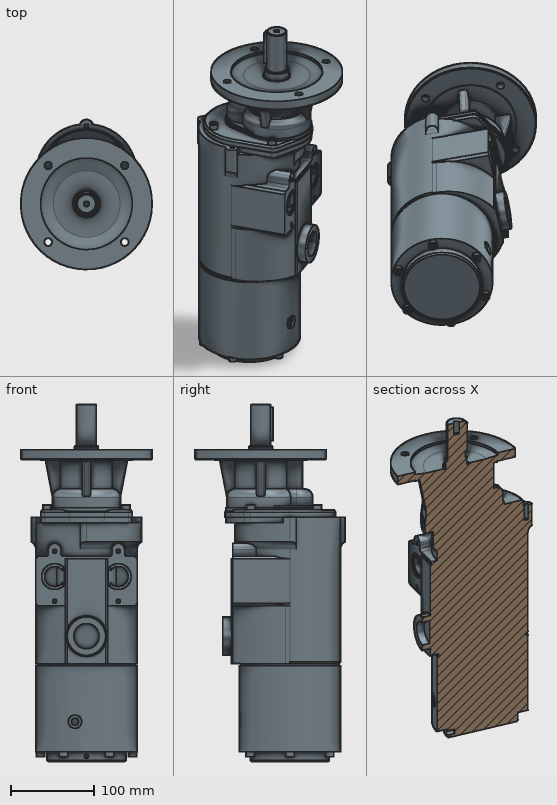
import cadquery as cq
import math

BODY_Y = 35.0
BODY_R = 61.0

SHAFT_TIP_Z = 54.5
SHAFT_LENGTH = 50.0
FLANGE_BOTTOM_Z = -12.0
DOME_TOP_Z = -47.2
COVER_TOP_Z = -72.5
COVER_BOTTOM_Z = -81.0
SEAT_BOTTOM_Z = -88.0
LUG_BOTTOM_Z = -119.0
PORT_BLOCK_TOP_Z = -128.0
PORT_BLOCK_BOTTOM_Z = -187.8
BODY_BOTTOM_Z = -257.0
DRUM_TOP_Z = -259.5
DRUM_BOTTOM_Z = -363.0
CAP_BOTTOM_Z = -375.0

SHAFT_R = 12.0
SHOULDER_R = 14.4
SHAFT_CHAMFER = 1.0
SHAFT_CENTRE_HOLE_D = 6.65
SHAFT_CENTRE_HOLE_DEPTH = 16.0
KEY_WIDTH = 8.0
KEY_LENGTH = 40.0
KEY_TOP_Y = 15.0
KEY_END_GAP = 4.0

FLANGE_R = 79.0
FLANGE_CHAMFER = 1.2
RECESS_R = 55.0
RECESS_DEPTH = 4.6
RECESS_WALL = 3.2
SEAL_R = 40.0
SHAFT_BORE_R = 16.5
SHAFT_BORE_DEPTH = 1.0
FLANGE_HOLE_D = 9.0
FLANGE_HOLE_CIRCLE_D = 130.0
BACK_RING_R = 55.0
BACK_RING_THICKNESS = 1.0

NECK_R = 31.7
NECK_FILLET = 2.0
HUB_R = 41.0
DOME_FILLET = 10.0
LOBE_Y = 42.5
LOBE_R = 20.0
RIB_WIDTH = 10.5
RIB_EDGE_FILLET = 2.5
RIB_TOP_R = 49.5
RIB_BOTTOM_Z = -56.0
REAR_RIB_R = 50.4

PEDESTAL_LOBE_Y = 36.0
PEDESTAL_LOBE_R = 27.0
PEDESTAL_STEPS = ((0.0, -67.3), (1.2, -69.8))

COVER_R = 55.0
COVER_NOSE_R = 43.0
COVER_NOSE_HALF_WIDTH = 21.3
COVER_CORNER_R = 9.0
SEAT_INSET = 1.0
SEAT_REAR_Y = 27.0
COVER_CHAMFER_HEIGHT = 2.6
COVER_CHAMFER_WIDTH = 1.8
COVER_SCREWS = [(47.3, -12.0), (34.0, 68.0)]
SCREW_HEAD_D = 10.0
SCREW_HEAD_HEIGHT = 6.0
SCREW_SOCKET_SIDES = 6
SCREW_SOCKET_D = 5.5
SCREW_SOCKET_DEPTH = 3.0

LUG_OUTER_R = 66.25
LUG_R = 8.0
LUG_RUNOUT_R = 9.0
LUG_HOLE_D = 4.92
LUG_HOLE_DEPTH = 20.0

PORT_FACE_Y = -33.8
BULGE_START_Y = 29.7
PORT_X = 38.2
PORT_Z = -152.5
PORT_D = 24.0
PORT_MOUTH_D = 31.0
PORT_DEPTH = 9.4
PORT_MOUTH_DEPTH = 2.0
PORT_RAMP_X = 35.8
TAB_R = 7.5
TAB_CENTRE_RISE = 2.0
TAB_ROOT_FILLET = 3.0
PORT_SCREW_D = 4.92
PORT_SCREW_SPACING = 60.0
PORT_SCREW_TOP_Z = -122.0
PORT_SCREW_DEPTH = 12.0
BLOCK_CORNER_CHAMFER = 3.0

SPINE_HALF_WIDTH = 25.5
SPINE_FACE_Y = -35.4
SPINE_TOP_Z = -131.3
SPINE_CHAMFER = 2.4
SPINE_CHAMFER_DEPTH = 1.5
CONNECTOR_Z = -224.0
CONNECTOR_R = 23.0
CONNECTOR_FACE_Y = -45.7
CONNECTOR_SEAT_R = 24.5
CONNECTOR_SEAT_DEPTH = 0.5
CONNECTOR_BORE_D = 30.3
CONNECTOR_BORE_DEPTH = 10.0

BODY_CHAMFER = 2.0
NECK_GROOVE_R = 59.0
PLUG_X = -13.7
PLUG_Z = -326.7
PLUG_SEAT_D = 16.0
PLUG_SEAT_Y = -22.0
PLUG_HOLE_D = 8.57
PLUG_HOLE_DEPTH = 5.0
CAP_R = 47.5
CAP_CHAMFER = 2.0
CAP_SCREW_COUNT = 6
CAP_SCREW_CIRCLE_R = 55.2
CAP_HOLE_D = 5.0
CAP_HOLE_Z = -368.0
CAP_HOLE_DEPTH = 10.0


def cylinder(radius, bottom, top, x=0.0, y=0.0):
    """Vertical cylinder between two heights."""
    return cq.Workplane("XY", origin=(x, y, bottom)).circle(radius).extrude(top - bottom)


def front_cylinder(radius, front_y, back_y, x, z):
    """Cylinder along Y, starting at front_y and running back to back_y."""
    return cq.Workplane("XZ", origin=(x, back_y, z)).circle(radius).extrude(back_y - front_y)


def block(x_range, y_range, z_range):
    """Box given by its limits along each axis."""
    size = [high - low for low, high in (x_range, y_range, z_range)]
    corner = (x_range[0], y_range[0], z_range[0])
    return cq.Workplane("XY").box(*size, centered=False).translate(corner)


def cap_screw(x, y, seat_z, direction):
    """Socket screw head standing on seat_z, pointing up (+1) or down (-1)."""
    plane = cq.Plane(origin=(x, y, seat_z), xDir=(1, 0, 0), normal=(0, 0, direction))
    head = cq.Workplane(plane).circle(SCREW_HEAD_D / 2).extrude(SCREW_HEAD_HEIGHT)
    end_face = head.faces(">Z" if direction > 0 else "<Z").workplane()
    return end_face.polygon(SCREW_SOCKET_SIDES, SCREW_SOCKET_D).cutBlind(-SCREW_SOCKET_DEPTH)


def make_shaft():
    shoulder_z = SHAFT_TIP_Z - SHAFT_LENGTH
    shaft = cylinder(SHAFT_R, FLANGE_BOTTOM_Z, SHAFT_TIP_Z).faces(">Z").chamfer(SHAFT_CHAMFER)
    shoulder = cylinder(SHOULDER_R, FLANGE_BOTTOM_Z, shoulder_z).faces(">Z").chamfer(SHAFT_CHAMFER)
    key_top_z = SHAFT_TIP_Z - KEY_END_GAP
    key = block((-KEY_WIDTH / 2, KEY_WIDTH / 2), (0, KEY_TOP_Y), (key_top_z - KEY_LENGTH, key_top_z))
    centre_hole = cylinder(SHAFT_CENTRE_HOLE_D / 2, SHAFT_TIP_Z - SHAFT_CENTRE_HOLE_DEPTH, SHAFT_TIP_Z)
    return shaft.union(shoulder).union(key).cut(centre_hole)


def make_flange():
    flange = cylinder(FLANGE_R, FLANGE_BOTTOM_Z, 0).faces("<Z").chamfer(FLANGE_CHAMFER)
    floor_z = -RECESS_DEPTH
    recess = (
        cq.Workplane("XZ")
        .polyline([(0, 0), (RECESS_R, 0), (RECESS_R, -RECESS_WALL), (SEAL_R, floor_z), (0, floor_z)])
        .close()
        .revolve(360, (0, 0, 0), (0, 1, 0))
    )
    flange = flange.cut(recess)
    flange = flange.cut(cylinder(SHAFT_BORE_R, floor_z - SHAFT_BORE_DEPTH, floor_z))
    half_pitch = FLANGE_HOLE_CIRCLE_D / 2 / math.sqrt(2)
    for x in (-half_pitch, half_pitch):
        for y in (-half_pitch, half_pitch):
            flange = flange.cut(cylinder(FLANGE_HOLE_D / 2, FLANGE_BOTTOM_Z, 0, x, y))
    back_ring_z = FLANGE_BOTTOM_Z - BACK_RING_THICKNESS
    return flange.union(cylinder(BACK_RING_R, back_ring_z, FLANGE_BOTTOM_Z))


def make_rib(profile, angle):
    """Radial rib with rounded outer edges; the profile is (radius, z) in the XZ plane."""
    rib = cq.Workplane("XZ", origin=(0, RIB_WIDTH / 2, 0)).polyline(profile).close().extrude(RIB_WIDTH)
    rib = rib.faces(">X").edges("not #Z").edges("not |Y").fillet(RIB_EDGE_FILLET)
    return rib.rotate((0, 0, 0), (0, 0, 1), angle)


def make_neck():
    """Round neck flaring with a fillet into the dome below and the flange ring above."""
    top_z = FLANGE_BOTTOM_Z - BACK_RING_THICKNESS
    flare_r = NECK_R + NECK_FILLET
    bend = NECK_FILLET * (1 - math.sqrt(0.5))
    return (
        cq.Workplane("XZ")
        .moveTo(0, DOME_TOP_Z)
        .lineTo(flare_r, DOME_TOP_Z)
        .threePointArc((NECK_R + bend, DOME_TOP_Z + bend), (NECK_R, DOME_TOP_Z + NECK_FILLET))
        .lineTo(NECK_R, top_z - NECK_FILLET)
        .threePointArc((NECK_R + bend, top_z - bend), (flare_r, top_z))
        .lineTo(0, top_z)
        .close()
        .revolve(360, (0, 0, 0), (0, 1, 0))
    )


def pedestal_step(growth, top):
    """Step whose outline hugs the dome and runs tangent to a wider arc around the lobe."""
    dome_r = HUB_R + growth
    lobe_r = PEDESTAL_LOBE_R + growth
    across = (dome_r - lobe_r) / PEDESTAL_LOBE_Y
    along = math.sqrt(1 - across**2)
    return (
        cq.Workplane("XY", origin=(0, 0, COVER_BOTTOM_Z))
        .moveTo(dome_r * along, dome_r * across)
        .lineTo(lobe_r * along, PEDESTAL_LOBE_Y + lobe_r * across)
        .threePointArc((0, PEDESTAL_LOBE_Y + lobe_r), (-lobe_r * along, PEDESTAL_LOBE_Y + lobe_r * across))
        .lineTo(-dome_r * along, dome_r * across)
        .threePointArc((0, -dome_r), (dome_r * along, dome_r * across))
        .close()
        .extrude(top - COVER_BOTTOM_Z)
    )


def make_hub():
    hub = cylinder(HUB_R, COVER_BOTTOM_Z, DOME_TOP_Z).faces(">Z").edges().fillet(DOME_FILLET)
    lobe = (
        cq.Workplane("XY", origin=(0, 0, COVER_BOTTOM_Z))
        .moveTo(-LOBE_R, 0)
        .lineTo(-LOBE_R, LOBE_Y)
        .threePointArc((0, LOBE_Y + LOBE_R), (LOBE_R, LOBE_Y))
        .lineTo(LOBE_R, 0)
        .close()
        .extrude(DOME_TOP_Z - COVER_BOTTOM_Z)
    )
    lobe = lobe.faces(">Z").edges("not <Y").fillet(DOME_FILLET)
    hub = hub.union(lobe).union(make_neck())
    for growth, top in PEDESTAL_STEPS:
        hub = hub.union(pedestal_step(growth, top))
    tapered = [
        (0, FLANGE_BOTTOM_Z),
        (RIB_TOP_R, FLANGE_BOTTOM_Z),
        (HUB_R, RIB_BOTTOM_Z),
        (0, RIB_BOTTOM_Z),
    ]
    straight = [
        (0, FLANGE_BOTTOM_Z),
        (REAR_RIB_R, FLANGE_BOTTOM_Z),
        (REAR_RIB_R, DOME_TOP_Z),
        (0, DOME_TOP_Z),
    ]
    for angle in (0, 180, 270):
        hub = hub.union(make_rib(tapered, angle))
    return hub.union(make_rib(straight, 90))


def cover_outline(bottom, top, inset=0.0):
    """Gearbox outline: rear arc on the body axis, nose arc on the shaft axis, tangent flanks."""
    nose_y = -math.sqrt(COVER_NOSE_R**2 - COVER_NOSE_HALF_WIDTH**2)
    flank_slope = COVER_NOSE_HALF_WIDTH / -nose_y
    corner_y = nose_y + (COVER_R - COVER_NOSE_HALF_WIDTH) * flank_slope
    solid = (
        cq.Workplane("XY", origin=(0, 0, bottom))
        .moveTo(COVER_R, BODY_Y)
        .threePointArc((0, BODY_Y + COVER_R), (-COVER_R, BODY_Y))
        .lineTo(-COVER_R, corner_y)
        .lineTo(-COVER_NOSE_HALF_WIDTH, nose_y)
        .threePointArc((0, -COVER_NOSE_R), (COVER_NOSE_HALF_WIDTH, nose_y))
        .lineTo(COVER_R, corner_y)
        .close()
        .extrude(top - bottom)
    )
    corner_size = 1.0
    for x in (-COVER_R, COVER_R):
        corner = cq.selectors.BoxSelector(
            (x - corner_size, corner_y - corner_size, bottom - corner_size),
            (x + corner_size, corner_y + corner_size, top + corner_size),
        )
        solid = solid.edges("|Z").edges(corner).fillet(COVER_CORNER_R)
    if inset:
        outline = cq.Workplane("XY", origin=(0, 0, bottom)).add(solid.faces("<Z").wires().vals())
        solid = outline.toPending().offset2D(-inset).extrude(top - bottom)
    return solid


def make_cover():
    cover = cover_outline(COVER_BOTTOM_Z, COVER_TOP_Z)
    rim = cover.faces(">Z").edges(">Y")
    cover = rim.chamfer(COVER_CHAMFER_HEIGHT, COVER_CHAMFER_WIDTH)
    cover = cover.union(cover_outline(SEAT_BOTTOM_Z, COVER_BOTTOM_Z, SEAT_INSET))
    for x, y in COVER_SCREWS:
        cover = cover.union(cap_screw(x, y, COVER_TOP_Z, 1))
        cover = cover.union(cap_screw(-x, y, COVER_TOP_Z, 1))
    return cover


def lug_envelope():
    """Turned shape about the body axis; its rim runs out into the body with a concave arc."""
    arc_centre_r = BODY_R + LUG_RUNOUT_R
    rim_offset = arc_centre_r - LUG_OUTER_R
    rim_z = LUG_BOTTOM_Z + math.sqrt(LUG_RUNOUT_R**2 - rim_offset**2)
    mid_angle = (math.pi + math.acos(-rim_offset / LUG_RUNOUT_R)) / 2
    arc_mid = (
        arc_centre_r + LUG_RUNOUT_R * math.cos(mid_angle),
        LUG_BOTTOM_Z + LUG_RUNOUT_R * math.sin(mid_angle),
    )
    return (
        cq.Workplane("XZ")
        .moveTo(0, COVER_BOTTOM_Z)
        .lineTo(LUG_OUTER_R, COVER_BOTTOM_Z)
        .lineTo(LUG_OUTER_R, rim_z)
        .threePointArc(arc_mid, (BODY_R, LUG_BOTTOM_Z))
        .lineTo(0, LUG_BOTTOM_Z)
        .close()
        .revolve(360, (0, 0, 0), (0, 1, 0))
        .translate((0, BODY_Y, 0))
    )


def add_lugs(body):
    """Round lugs at the four quarters, a quarter-ring pad from front to +X, and the lug holes."""
    lugs = block((0, LUG_OUTER_R), (BODY_Y - LUG_OUTER_R, BODY_Y), (LUG_BOTTOM_Z, COVER_BOTTOM_Z))
    centre_r = LUG_OUTER_R - LUG_R
    centres = [(centre_r, BODY_Y), (0, BODY_Y + centre_r), (-centre_r, BODY_Y), (0, BODY_Y - centre_r)]
    for x, y in centres:
        lugs = lugs.union(cylinder(LUG_R, LUG_BOTTOM_Z, COVER_BOTTOM_Z, x, y))
    body = body.union(lugs.intersect(lug_envelope()))
    lowered_front = block(
        (-LUG_OUTER_R, LUG_OUTER_R), (BODY_Y - LUG_OUTER_R, SEAT_REAR_Y), (SEAT_BOTTOM_Z, COVER_BOTTOM_Z))
    body = body.cut(lowered_front)
    drilled_centres = centres[:-1]
    for x, y in drilled_centres:
        body = body.cut(cylinder(LUG_HOLE_D / 2, COVER_BOTTOM_Z - LUG_HOLE_DEPTH, COVER_BOTTOM_Z, x, y))
    return body


def make_bulge():
    """Body flanks swelling forward to the spine, each a circular arc leaving the side parallel to Y."""
    run = BODY_R - SPINE_HALF_WIDTH
    rise = BULGE_START_Y - PORT_FACE_Y
    radius = (run**2 + rise**2) / (2 * run)
    half_sweep = math.asin(rise / radius) / 2
    mid_x = BODY_R - radius * (1 - math.cos(half_sweep))
    mid_y = BULGE_START_Y - radius * math.sin(half_sweep)
    return (
        cq.Workplane("XY", origin=(0, 0, BODY_BOTTOM_Z))
        .moveTo(-BODY_R, BODY_Y)
        .lineTo(-BODY_R, BULGE_START_Y)
        .threePointArc((-mid_x, mid_y), (-SPINE_HALF_WIDTH, PORT_FACE_Y))
        .lineTo(SPINE_HALF_WIDTH, PORT_FACE_Y)
        .threePointArc((mid_x, mid_y), (BODY_R, BULGE_START_Y))
        .lineTo(BODY_R, BODY_Y)
        .close()
        .extrude(PORT_BLOCK_BOTTOM_Z - BODY_BOTTOM_Z)
    )


def make_port_block():
    """Block with two screw tabs; tab roots are filleted into its upper face."""
    ports = block((-BODY_R, BODY_R), (PORT_FACE_Y, BODY_Y), (PORT_BLOCK_BOTTOM_Z, PORT_BLOCK_TOP_Z))
    ports = ports.edges("|Y").chamfer(BLOCK_CORNER_CHAMFER)
    tab_centre_z = PORT_SCREW_TOP_Z + TAB_CENTRE_RISE
    for x in (-PORT_X, PORT_X):
        ports = ports.union(front_cylinder(TAB_R, PORT_FACE_Y, BODY_Y, x, tab_centre_z))
        ports = ports.union(
            block((x - TAB_R, x + TAB_R), (PORT_FACE_Y, BODY_Y), (PORT_BLOCK_TOP_Z, tab_centre_z)))
    margin = 1.0
    tab_reach = PORT_X + TAB_R + margin
    roots = cq.selectors.BoxSelector(
        (-tab_reach, PORT_FACE_Y - margin, PORT_BLOCK_TOP_Z - margin),
        (tab_reach, BODY_Y + margin, PORT_BLOCK_TOP_Z + margin),
    )
    return ports.edges("|Y").edges(roots).fillet(TAB_ROOT_FILLET)


def cut_ports(body):
    """Two counterbored ports, each with a 45 degree ramp on its inner side, and four screw holes."""
    floor_y = PORT_FACE_Y + PORT_DEPTH
    for side in (-1, 1):
        x = side * PORT_X
        port = front_cylinder(PORT_D / 2, PORT_FACE_Y, floor_y, x, PORT_Z)
        mouth = front_cylinder(PORT_MOUTH_D / 2, PORT_FACE_Y, PORT_FACE_Y + PORT_MOUTH_DEPTH, x, PORT_Z)
        ramp = (
            cq.Workplane("XY", origin=(0, 0, PORT_Z - PORT_MOUTH_D / 2))
            .polyline([
                (side * PORT_RAMP_X, floor_y),
                (side * (PORT_RAMP_X - PORT_DEPTH), floor_y),
                (side * (PORT_RAMP_X - PORT_DEPTH), PORT_FACE_Y),
            ])
            .close()
            .extrude(PORT_MOUTH_D)
        )
        body = body.cut(port.union(mouth).cut(ramp))
        for z in (PORT_SCREW_TOP_Z, PORT_SCREW_TOP_Z - PORT_SCREW_SPACING):
            screw_end_y = PORT_FACE_Y + PORT_SCREW_DEPTH
            body = body.cut(front_cylinder(PORT_SCREW_D / 2, PORT_FACE_Y, screw_end_y, x, z))
    return body


def add_spine(body):
    """Flat front spine with chamfered edges, carrying the round connector in a shallow spotface."""
    face_half_width = SPINE_HALF_WIDTH - SPINE_CHAMFER
    shoulder_y = SPINE_FACE_Y + SPINE_CHAMFER_DEPTH
    spine = (
        cq.Workplane("XY", origin=(0, 0, BODY_BOTTOM_Z))
        .polyline([
            (-SPINE_HALF_WIDTH, BODY_Y),
            (-SPINE_HALF_WIDTH, shoulder_y),
            (-face_half_width, SPINE_FACE_Y),
            (face_half_width, SPINE_FACE_Y),
            (SPINE_HALF_WIDTH, shoulder_y),
            (SPINE_HALF_WIDTH, BODY_Y),
        ])
        .close()
        .extrude(SPINE_TOP_Z - BODY_BOTTOM_Z)
    )
    seat_y = SPINE_FACE_Y + CONNECTOR_SEAT_DEPTH
    seat = front_cylinder(CONNECTOR_SEAT_R, SPINE_FACE_Y, seat_y, 0, CONNECTOR_Z)
    connector = front_cylinder(CONNECTOR_R, CONNECTOR_FACE_Y, 0, 0, CONNECTOR_Z)
    bore_y = CONNECTOR_FACE_Y + CONNECTOR_BORE_DEPTH
    bore = front_cylinder(CONNECTOR_BORE_D / 2, CONNECTOR_FACE_Y, bore_y, 0, CONNECTOR_Z)
    return body.union(spine).cut(seat).union(connector).cut(bore)


def make_body():
    body = cylinder(BODY_R, BODY_BOTTOM_Z, COVER_BOTTOM_Z, 0, BODY_Y).faces("<Z").chamfer(BODY_CHAMFER)
    body = add_lugs(body)
    body = body.union(make_bulge()).union(make_port_block())
    return add_spine(cut_ports(body))


def make_drum():
    drum = cylinder(BODY_R, DRUM_BOTTOM_Z, DRUM_TOP_Z, 0, BODY_Y)
    drum = drum.union(cylinder(NECK_GROOVE_R, DRUM_TOP_Z, BODY_BOTTOM_Z, 0, BODY_Y))
    seat = front_cylinder(PLUG_SEAT_D / 2, BODY_Y - BODY_R, PLUG_SEAT_Y, PLUG_X, PLUG_Z)
    hole = front_cylinder(PLUG_HOLE_D / 2, PLUG_SEAT_Y, PLUG_SEAT_Y + PLUG_HOLE_DEPTH, PLUG_X, PLUG_Z)
    drum = drum.cut(seat).cut(hole)
    cap = cylinder(CAP_R, CAP_BOTTOM_Z, DRUM_BOTTOM_Z, 0, BODY_Y).faces("<Z").chamfer(CAP_CHAMFER)
    cap_front_y = BODY_Y - CAP_R
    cap = cap.cut(front_cylinder(CAP_HOLE_D / 2, cap_front_y, cap_front_y + CAP_HOLE_DEPTH, 0, CAP_HOLE_Z))
    drum = drum.union(cap)
    for i in range(CAP_SCREW_COUNT):
        angle = 2 * math.pi * i / CAP_SCREW_COUNT
        x = CAP_SCREW_CIRCLE_R * math.cos(angle)
        y = BODY_Y + CAP_SCREW_CIRCLE_R * math.sin(angle)
        drum = drum.union(cap_screw(x, y, DRUM_BOTTOM_Z, -1))
    return drum


result = (
    make_body()
    .union(make_drum())
    .union(make_cover())
    .union(make_hub())
    .union(make_flange())
    .union(make_shaft())
)